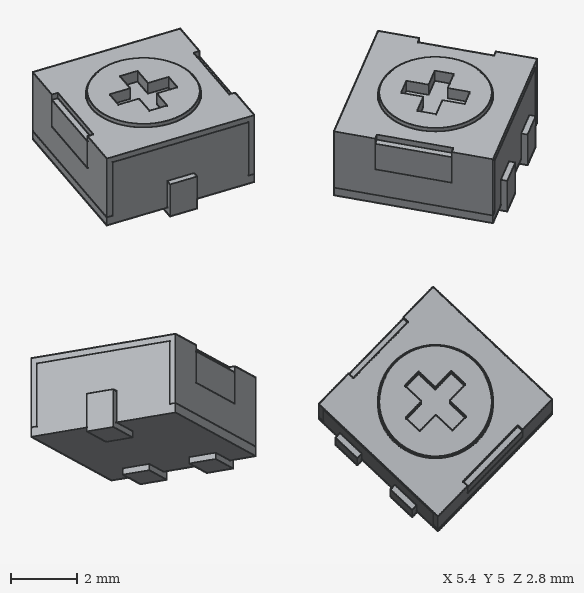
import cadquery as cq

overall_length = 5.4
sheet = 0.2
body_side = overall_length - 2 * sheet
body_height = 2.5
body_bottom = sheet
body_top = body_bottom + body_height

plate_height = 0.3
plate_top = body_bottom + plate_height
block_width = body_side - 2 * sheet
block_top = body_top - sheet

lug_length = 2.4
window_height = 1.2
window_bottom = body_top - window_height

rotor_radius = 1.7
rotor_rise = 0.1
rotor_top = body_top + rotor_rise
rotor_clearance = 0.05
slot_depth = 0.4
slot_length = 2.0
slot_width = 0.6
rotor_floor = 0.2
rotor_bottom = rotor_top - slot_depth - rotor_floor

terminal_width = 0.92
terminal_height = 1.2
single_foot_length = 1.2
pair_foot_length = 1.1
terminal_pair_spacing = 2.3


def block(length, width, bottom, top):
    """Box centred on the Z axis between two heights."""
    return cq.Workplane("XY").workplane(offset=bottom).rect(length, width).extrude(top - bottom)


def disc(radius, bottom, top):
    """Cylinder on the Z axis between two heights."""
    return cq.Workplane("XY").workplane(offset=bottom).circle(radius).extrude(top - bottom)


def make_base():
    plate = block(body_side, body_side, body_bottom, plate_top)
    core = block(body_side, block_width, plate_top, block_top)
    lugs = block(lug_length, body_side, window_bottom, block_top)
    rotor_recess = disc(rotor_radius, rotor_bottom, block_top)
    return plate.union(core).union(lugs).cut(rotor_recess)


def make_cover():
    cover = block(body_side, body_side, plate_top, body_top)
    cover = cover.cut(block(body_side, block_width, plate_top, block_top))
    for side in (-1, 1):
        window = block(lug_length, sheet, window_bottom, body_top)
        cover = cover.cut(window.translate((0, side * (body_side - sheet) / 2, 0)))
    return cover.cut(disc(rotor_radius + rotor_clearance, block_top, body_top))


def make_rotor():
    rotor = disc(rotor_radius, rotor_bottom, rotor_top)
    slot_floor = rotor_top - slot_depth
    rotor = rotor.cut(block(slot_length, slot_width, slot_floor, rotor_top))
    return rotor.cut(block(slot_width, slot_length, slot_floor, rotor_top))


def make_terminal(side, y_center, foot_length):
    """Terminal on the +X (side = 1) or -X (side = -1) face, with its foot under the body."""
    outer = side * overall_length / 2
    profile = [
        (outer, 0),
        (outer, terminal_height),
        (outer - side * sheet, terminal_height),
        (outer - side * sheet, sheet),
        (outer - side * foot_length, sheet),
        (outer - side * foot_length, 0),
    ]
    terminal = cq.Workplane("XZ").polyline(profile).close().extrude(terminal_width / 2, both=True)
    return terminal.translate((0, y_center, 0))


base = make_base()
cover = make_cover()
rotor = make_rotor()

terminal_places = [
    (1, 0, single_foot_length),
    (-1, -terminal_pair_spacing / 2, pair_foot_length),
    (-1, terminal_pair_spacing / 2, pair_foot_length),
]
terminals = [make_terminal(*place).val() for place in terminal_places]

result = cq.Compound.makeCompound([base.val(), cover.val(), rotor.val(), *terminals])